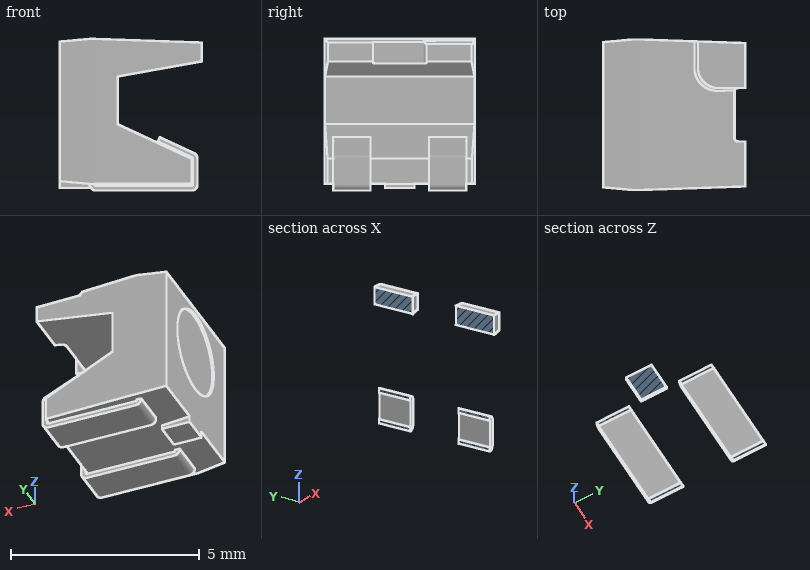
import cadquery as cq
import math


LENGTH = 3.77
HALF_WIDTH = 4.0 / 2
TOP = 4.03
BOTTOM = 0.18
BAND_START = 0.8
BAND_END = 0.93
FRONT_INSET = 0.073
REAR_INSET = 0.095

THROAT_X = 1.54
THROAT_TOP = 3.025
THROAT_BOTTOM = 1.765
UPPER_ARM_TIP_BOTTOM = 3.425
LOWER_ARM_END = 3.5
LOWER_ARM_TIP_TOP = 0.855

WINDOW_DIAMETER = 2.4
WINDOW_Z = 2.58
WINDOW_DEPTH = 0.05
TAB_WIDTH = 0.79
TAB_BOTTOM = 0.073
NOTCH_WIDTH = 1.405
NOTCH_X = 3.47
NOTCH_CORNER_RADIUS = 0.1
STEP_X = 2.51
STEP_DROP = 0.05
STEP_CORNER_RADIUS = 0.545
STEP_WALL_ANGLE = 45

LEAD_THICKNESS = 0.13
LEAD_WIDTH = 1.0
LEAD_CENTRE_Y = 1.27
LEAD_GAP = 0.03
LEAD_BEND_RADIUS = 0.035
LEAD_TIP_X = 2.6

CLEARANCE = 0.2


def make_housing_block():
    """Drafted block with its throat: the side outline and the plan outline intersected."""
    side_outline = [
        (0, BOTTOM + FRONT_INSET),
        (0, TOP - FRONT_INSET),
        (BAND_START, TOP),
        (BAND_END, TOP),
        (LENGTH, TOP - REAR_INSET),
        (LENGTH, UPPER_ARM_TIP_BOTTOM),
        (THROAT_X, THROAT_TOP),
        (THROAT_X, THROAT_BOTTOM),
        (LOWER_ARM_END, LOWER_ARM_TIP_TOP),
        (LOWER_ARM_END, BOTTOM),
        (BAND_START, BOTTOM),
    ]
    half_plan = [
        (0, HALF_WIDTH - FRONT_INSET),
        (BAND_START, HALF_WIDTH),
        (BAND_END, HALF_WIDTH),
        (LENGTH, HALF_WIDTH - REAR_INSET),
    ]
    plan_outline = half_plan + [(x, -y) for x, y in reversed(half_plan)]
    side = cq.Workplane("XZ").polyline(side_outline).close().extrude(HALF_WIDTH, both=True)
    plan = cq.Workplane("XY").polyline(plan_outline).close().extrude(TOP)
    return side.intersect(plan)


def make_tab():
    """Foot under the front half, flush with the front face."""
    height = BOTTOM + FRONT_INSET - TAB_BOTTOM
    return (
        cq.Workplane("XY", origin=(0, 0, TAB_BOTTOM))
        .rect(BAND_START, TAB_WIDTH)
        .extrude(height)
        .translate((BAND_START / 2, 0, 0))
    )


def make_window():
    """Shallow round recess in the front face."""
    return cq.Workplane("YZ").center(0, WINDOW_Z).circle(WINDOW_DIAMETER / 2).extrude(WINDOW_DEPTH)


def make_notch():
    """Slot through the end of the upper arm, rounded at its inner corners."""
    return (
        cq.Workplane("XY", origin=(NOTCH_X, 0, THROAT_TOP))
        .box(LENGTH - NOTCH_X + CLEARANCE, NOTCH_WIDTH, TOP - THROAT_TOP, centered=(False, True, False))
        .edges("|Z and <X")
        .fillet(NOTCH_CORNER_RADIUS)
    )


def make_step():
    """Level step in the rear +Y corner of the top, with a sloped wall and one rounded corner."""
    floor_z = TOP - REAR_INSET - STEP_DROP
    near_y = NOTCH_WIDTH / 2
    far_x = LENGTH + CLEARANCE
    far_y = HALF_WIDTH + CLEARANCE
    return (
        cq.Workplane("XY", origin=(0, 0, floor_z))
        .moveTo(far_x, near_y)
        .lineTo(STEP_X + STEP_CORNER_RADIUS, near_y)
        .radiusArc((STEP_X, near_y + STEP_CORNER_RADIUS), STEP_CORNER_RADIUS)
        .lineTo(STEP_X, far_y)
        .lineTo(far_x, far_y)
        .close()
        .extrude(TOP - floor_z, taper=-STEP_WALL_ANGLE)
    )


def make_housing():
    housing_body = make_housing_block().union(make_tab())
    housing_body = housing_body.cut(make_window()).cut(make_notch()).cut(make_step())
    return housing_body.solids()


def make_lead(centre_y):
    """Strip that leaves the housing at the band, runs under the lower arm and folds over its end."""
    run = LOWER_ARM_END - THROAT_X
    rise = THROAT_BOTTOM - LOWER_ARM_TIP_TOP
    slope = math.atan2(rise, run)
    inner_x = LOWER_ARM_END + LEAD_GAP
    outer_x = inner_x + LEAD_THICKNESS

    def sloped_z(x, offset):
        """Height at x of the line lying the given distance above the slope of the lower arm."""
        return LOWER_ARM_TIP_TOP + (LOWER_ARM_END - x) * math.tan(slope) + offset / math.cos(slope)

    tip_inner = (LEAD_TIP_X, sloped_z(LEAD_TIP_X, LEAD_GAP))
    tip_outer = (
        tip_inner[0] + LEAD_THICKNESS * math.sin(slope),
        tip_inner[1] + LEAD_THICKNESS * math.cos(slope),
    )
    inner_bends = [
        (BAND_START + LEAD_THICKNESS, LEAD_THICKNESS),
        (inner_x, LEAD_THICKNESS),
        (inner_x, sloped_z(inner_x, LEAD_GAP)),
    ]
    outer_bends = [
        (BAND_START, 0),
        (outer_x, 0),
        (outer_x, sloped_z(outer_x, LEAD_GAP + LEAD_THICKNESS)),
    ]
    outline = [(BAND_START, BOTTOM), *outer_bends, tip_outer, tip_inner, *reversed(inner_bends)]
    outline.append((BAND_START + LEAD_THICKNESS, BOTTOM))

    lead = (
        cq.Workplane("XZ", origin=(0, centre_y, 0))
        .polyline(outline)
        .close()
        .extrude(LEAD_WIDTH / 2, both=True)
    )
    for bends, radius in (
        (inner_bends, LEAD_BEND_RADIUS),
        (outer_bends, LEAD_BEND_RADIUS + LEAD_THICKNESS),
    ):
        for x, z in bends:
            corner = cq.selectors.NearestToPointSelector((x, centre_y, z))
            lead = lead.edges("|Y").edges(corner).fillet(radius)
    return lead


housing = make_housing()
leads = [make_lead(side * LEAD_CENTRE_Y) for side in (-1, 1)]

result = cq.Compound.makeCompound([housing.val(), *[lead.val() for lead in leads]])